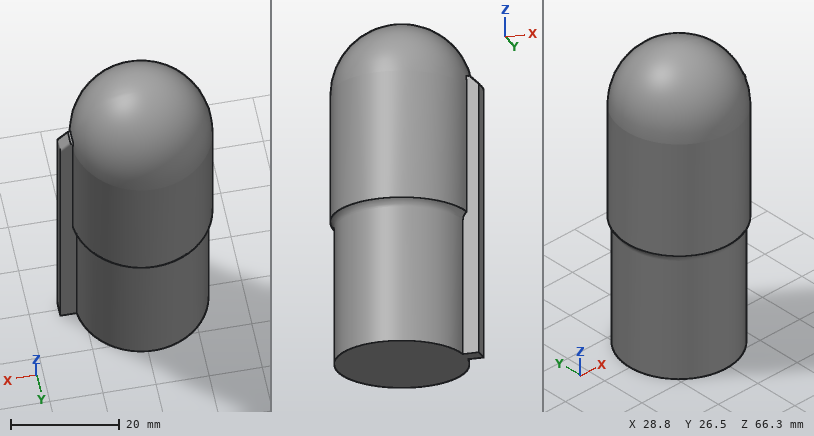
import cadquery as cq
import math

total_height = 66.25
body_radius = 13.25
neck_radius = 12.5
neck_height = 26.5
shoulder_height = 28.0
dome_base = total_height - body_radius

rib_width = 3.0
rib_reach = 15.5
rib_height = 55.0
rib_slope = 1.9
rib_edge_radius = 0.5


def make_body():
    """Revolve the neck, concave shoulder, cylinder and hemispherical dome."""
    flare = body_radius - neck_radius
    rise = shoulder_height - neck_height
    arc_radius = (flare**2 + rise**2) / (2 * flare)
    half_angle = math.asin(rise / arc_radius) / 2
    shoulder_middle = (
        neck_radius + arc_radius * (1 - math.cos(half_angle)),
        neck_height + arc_radius * math.sin(half_angle),
    )
    dome_middle = (
        body_radius * math.cos(math.pi / 4),
        dome_base + body_radius * math.sin(math.pi / 4),
    )
    return (
        cq.Workplane("XZ")
        .lineTo(neck_radius, 0)
        .lineTo(neck_radius, neck_height)
        .threePointArc(shoulder_middle, (body_radius, shoulder_height))
        .lineTo(body_radius, dome_base)
        .threePointArc(dome_middle, (0, total_height))
        .close()
        .revolve(360, (0, 0), (0, 1))
    )


def make_rib():
    """Extrude the rib from the axis outward and round the edges of its sloped end."""
    rib = (
        cq.Workplane("XZ")
        .lineTo(rib_reach, 0)
        .lineTo(rib_reach, rib_height - rib_slope)
        .lineTo(rib_reach - rib_slope, rib_height)
        .lineTo(0, rib_height)
        .close()
        .extrude(rib_width / 2, both=True)
    )
    sloped_face = rib.faces("+(1, 0, 1)")
    top_sides = rib.faces(">Z").edges("|X")
    slope_sides = sloped_face.edges("not |Y")
    slope_foot = sloped_face.edges("<Z")
    rounded_edges = top_sides.add(slope_sides).add(slope_foot)
    return rounded_edges.fillet(rib_edge_radius)


result = make_body().union(make_rib())